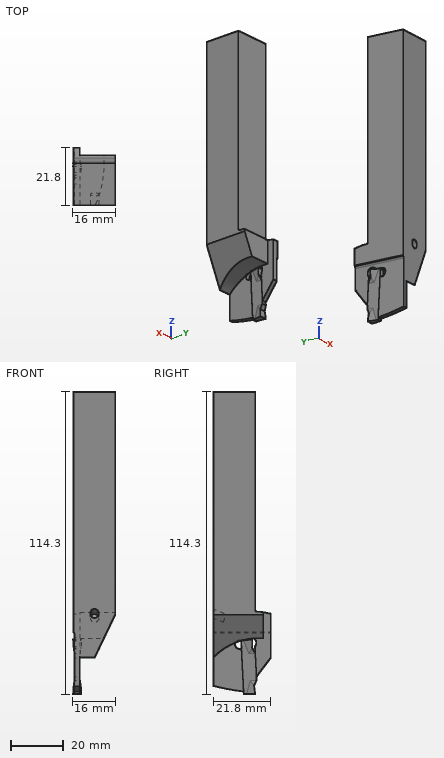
import cadquery as cq
import math

shank_size = 15.9
total_height = 114.3
face_relief = 0.5
face_relief_z = 23.7
face_relief_fillet = 0.8
lip_depth = 0.1
lip_height = 0.3

head_top_z = 31.2
head_back = 19.0
head_fillet = 0.7
slope_start = 18.0
slope_angle = 11.0
head_slant_top_z = 30.1
head_slant_bottom_x = 8.1
underside_radius = 23.8
underside_axis_y = 17.1
underside_top_z = 21.1

blade_side = 2.5
blade_back = 21.8
blade_back_bottom_z = 13.8
blade_taper_y = 16.2
blade_taper_z = 6.4
blade_front_z = 3.1
blade_inner_z = 0.9
blade_inner_y = 11.8
blade_mid_z = 1.8
blade_mid_y = 5.7

coolant_radius = 1.6
coolant_x = 8.0
coolant_z = 30.5
coolant_depth = 4.6
coolant_tilt = 22.0

slot_end_z = 20.6
tip_relief = (14.2, 19.4, 2.1)
back_relief = (10.0, 18.9, 1.7)

insert_length = 20.8
insert_tilt = 3.0
insert_tip_y = shank_size
rake_edge = -0.8
back_edge = 4.3
end_clearance = 3.5
chip_ramp_v = 5.3
chip_floor = (0.2, 3.2)
flank_inner_u = 1.7
flank_outer_u = 3.4
flank_relief = 10.0
slot_overrun = 3.4


def insert_point(u, v):
    """(y, z) of a point given in the tilted frame of the insert."""
    tilt = math.radians(insert_tilt)
    y = insert_tip_y - u * math.cos(tilt) - v * math.sin(tilt)
    z = v * math.cos(tilt) - u * math.sin(tilt)
    return (y, z)


def end_v(u):
    """Height of the lower end face of the insert at distance u from the tip."""
    return u * math.tan(math.radians(end_clearance))


def along_x(points, start, stop):
    """Prism with a (y, z) outline, reaching from x = start to x = stop."""
    return cq.Workplane("YZ", origin=(start, 0, 0)).polyline(points).close().extrude(stop - start)


def make_shank():
    section = cq.Workplane("XY", origin=(0, 0, head_top_z)).rect(shank_size, shank_size, centered=False)
    return section.extrude(total_height - head_top_z)


def slope_z(y):
    """Height of the sloping top of the head and blade at y."""
    return head_top_z - (y - slope_start) * math.tan(math.radians(slope_angle))


def make_head():
    """Full-width block with an arched underside and a slanted +X corner."""
    def underside(y):
        axis_z = underside_top_z - underside_radius
        return axis_z + math.sqrt(underside_radius**2 - (y - underside_axis_y) ** 2)

    fillet_mid = head_fillet * (1 - math.sqrt(0.5))
    block = (
        cq.Workplane("YZ")
        .moveTo(0, underside(0))
        .threePointArc((head_back / 2, underside(head_back / 2)), (head_back, underside(head_back)))
        .lineTo(head_back, slope_z(head_back))
        .lineTo(slope_start, head_top_z)
        .lineTo(shank_size + head_fillet, head_top_z)
        .threePointArc(
            (shank_size + fillet_mid, head_top_z + fillet_mid), (shank_size, head_top_z + head_fillet)
        )
        .lineTo(0, head_top_z + head_fillet)
        .close()
        .extrude(shank_size)
    )
    slant = (
        cq.Workplane("XZ")
        .polyline(
            [
                (shank_size, head_slant_top_z),
                (shank_size, underside(0)),
                (head_slant_bottom_x, underside(0)),
            ]
        )
        .close()
        .extrude(-head_back)
    )
    return block.cut(slant)


def make_blade():
    """Plate around the insert, with a curved lower edge and a tapered +Y corner."""
    return (
        cq.Workplane("YZ")
        .moveTo(0, blade_front_z)
        .threePointArc((blade_mid_y, blade_mid_z), (blade_inner_y, blade_inner_z))
        .lineTo(blade_taper_y, blade_taper_z)
        .lineTo(blade_back, blade_back_bottom_z)
        .lineTo(blade_back, slope_z(blade_back))
        .lineTo(slope_start, head_top_z)
        .lineTo(0, head_top_z)
        .close()
        .extrude(blade_side)
    )


def make_face_relief():
    """Step along the -X side, ending in a narrow lip and a concave fillet."""
    r = face_relief_fillet
    lip_z = face_relief_z - lip_height
    fillet_angle = math.acos(1 - (face_relief - lip_depth) / r)
    fillet_bottom_z = lip_z - r * math.sin(fillet_angle)
    mid_x = face_relief - r * (1 - math.cos(fillet_angle / 2))
    mid_z = fillet_bottom_z + r * math.sin(fillet_angle / 2)
    return (
        cq.Workplane("XZ")
        .lineTo(face_relief, 0)
        .lineTo(face_relief, fillet_bottom_z)
        .threePointArc((mid_x, mid_z), (lip_depth, lip_z))
        .lineTo(0, face_relief_z)
        .close()
        .extrude(-blade_back)
    )


def make_insert_slot():
    """Slot that fits the insert sides, open below, with two relief holes at its top."""
    def top(u):
        tilt = math.radians(insert_tilt)
        return insert_point(u, (slot_end_z + u * math.sin(tilt)) / math.cos(tilt))

    outline = [
        insert_point(rake_edge, -slot_overrun),
        insert_point(back_edge, -slot_overrun),
        top(back_edge),
        top(rake_edge),
    ]
    slot = along_x(outline, 0, blade_side)
    for y, z, radius in (tip_relief, back_relief):
        slot = slot.union(cq.Workplane("YZ").center(y, z).circle(radius).extrude(blade_side))
    return slot


def make_coolant_hole():
    """Flat-bottomed hole that runs inward and down from the front face."""
    tilt = math.radians(coolant_tilt)
    direction = cq.Vector(0, math.cos(tilt), -math.sin(tilt))
    mouth = cq.Vector(coolant_x, 0, coolant_z)
    start = mouth - direction * coolant_radius
    return cq.Workplane(
        cq.Solid.makeCylinder(coolant_radius, coolant_depth + coolant_radius, start, direction)
    )


def make_holder():
    return (
        make_shank()
        .union(make_head())
        .union(make_blade())
        .cut(make_face_relief())
        .cut(make_insert_slot())
        .cut(make_coolant_hole())
    )


def polyhedron(faces):
    """Solid bounded by flat polygons."""
    shell = cq.Shell.makeShell([cq.Face.makeFromWires(cq.Wire.makePolygon(f, close=True)) for f in faces])
    return cq.Solid.makeSolid(shell)


def make_flank(body_x, outward, flip):
    """Flared side of one cutting end, thickening toward the tip and the rake side."""
    corner = (flank_inner_u, chip_ramp_v)
    heel_point = (flank_outer_u, end_v(flank_outer_u))
    edge_u = heel_point[0] - corner[0]
    edge_v = heel_point[1] - corner[1]

    def place(point, raised=False):
        u, v = point
        height = 0
        if raised:
            reach = (edge_u * (v - corner[1]) - edge_v * (u - corner[0])) / math.hypot(edge_u, edge_v)
            height = abs(reach) * math.tan(math.radians(flank_relief))
        y, z = insert_point(u, insert_length - v if flip else v)
        return cq.Vector(body_x + outward * height, y, z)

    ramp_start = place((rake_edge, chip_ramp_v))
    ramp_end = place(corner)
    heel = place(heel_point)
    tip = place((0, 0))
    floor = place(chip_floor)
    high_tip = place((0, 0), True)
    high_floor = place(chip_floor, True)
    return polyhedron(
        [
            [ramp_start, ramp_end, heel, tip, floor],
            [ramp_start, ramp_end, high_floor],
            [high_floor, ramp_end, heel, high_tip],
            [ramp_start, high_floor, floor],
            [floor, high_floor, high_tip, tip],
            [tip, high_tip, heel],
        ]
    )


def make_insert():
    """Double-ended insert: a flat body flush with the blade and a flare on each side of each end."""
    lower = [
        (rake_edge, chip_ramp_v),
        chip_floor,
        (0, 0),
        (back_edge, end_v(back_edge)),
    ]
    upper = [(u, insert_length - v) for u, v in reversed(lower)]
    insert = along_x([insert_point(u, v) for u, v in lower + upper], face_relief, blade_side)
    for body_x, outward in ((face_relief, -1), (blade_side, 1)):
        for flip in (False, True):
            insert = insert.union(cq.Workplane(make_flank(body_x, outward, flip)))
    return insert


holder = make_holder()
insert = make_insert()
result = cq.Compound.makeCompound([*holder.solids().vals(), *insert.solids().vals()])